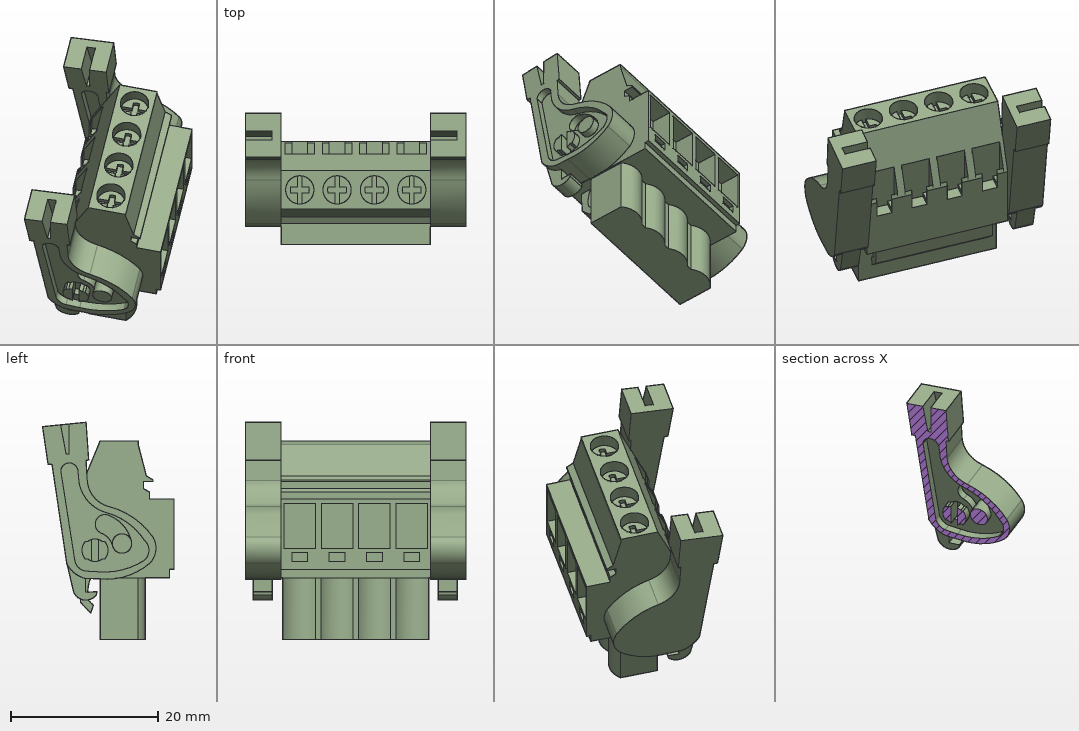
import cadquery as cq
import math


LENGTH = 30.02
POLES = 4
PITCH = 5.07
HOUSING_WIDTH = POLES * PITCH
HALF_WIDTH = HOUSING_WIDTH / 2
LEVER_WIDTH = (LENGTH - HOUSING_WIDTH) / 2
POLE_XS = [(i - (POLES - 1) / 2) * PITCH for i in range(POLES)]

BODY_BOTTOM = 8.4
BODY_TOP = 27.02
BODY_BACK = 14.05
TOP_FRONT = 4.85
TOP_BACK = 10.05
TOP_LIP = 0.48
BACK_SLOPE_END = 17.47
SHELF_HEIGHT = 19.15
FOOT_NOTCH_DEPTH = 0.6
FOOT_NOTCH_TOP = 9.55

ENTRY_WIDTH = 4.25
ENTRY_BOTTOM = 12.4
ENTRY_TOP = 18.52
ENTRY_DEPTH = 2.82
TEST_WIDTH = 2.13
TEST_BOTTOM = 10.63
TEST_TOP = 11.83
TEST_DEPTH = 0.6

BACK_POCKET_WIDTH = 4.0
BACK_POCKET_FRONT = 12.3
BACK_POCKET_BACK = 13.8
BACK_POCKET_FLOOR = 15.6
BACK_NOTCH_WIDTH = 2.13
BACK_NOTCH_FLOOR = 15.0

PLUG_HALF_WIDTH = 9.95
PLUG_FRONT = 3.9
PLUG_BACK = 10.05
BARREL_RADIUS = 3.27
BARREL_HALF_CHORD = 2.15

LATCH_WIDTH = 16.8

SCREW_RADIUS = 1.92
SCREW_Y = (TOP_FRONT + TOP_BACK) / 2
SCREW_SINK = 1.83
SCREW_HEIGHT = 3.6
SCREW_SLOT_DEPTH = 0.6
LONG_SLOT_WIDTH = 0.6
SHORT_SLOT_WIDTH = 0.8
SHORT_SLOT_RADIUS = 1.3

POCKET_DEPTH = 1.1
GROOVE_LENGTH = 3.63
HOOK_START = 1.05
HOOK_WIDTH = 2.6
PIVOT_Y = 10.75
PIVOT_Z = 12.15
PIVOT_RADIUS = 1.53
PIVOT_LUG_RADIUS = 1.77
PIVOT_LUG_HEIGHT = 2.35
PIVOT_SLOT_WIDTH = 0.93
PIVOT_SLOT_DEPTH = 1.98
PIN_RADIUS = 1.32
CAM_RADIUS = 3.78
CAM_DEPTH = 1.2
CAM_START_ANGLE = 111.0
CAM_END_ANGLE = 166.0


def box(x_center, width, y_range, z_range):
    """A box centred on x_center that spans the given Y and Z ranges."""
    depth = y_range[1] - y_range[0]
    height = z_range[1] - z_range[0]
    corner = (x_center - width / 2, y_range[0], z_range[0])
    return cq.Workplane("XY").box(width, depth, height, centered=False).translate(corner)


def side_plane(x):
    """A YZ sketch plane at the given X, with its normal along +X."""
    return cq.Workplane("YZ", origin=(x, 0, 0))


def make_body():
    """The stepped side profile of the housing, extruded along the row of poles."""
    profile = [
        (FOOT_NOTCH_DEPTH, BODY_BOTTOM),
        (FOOT_NOTCH_DEPTH, FOOT_NOTCH_TOP),
        (0, FOOT_NOTCH_TOP),
        (0, SHELF_HEIGHT),
        (3.33, SHELF_HEIGHT),
        (3.33, 20.08),
        (4.15, 20.53),
        (4.15, 21.5),
        (2.85, 21.5),
        (2.85, 21.73),
        (3.75, 22.27),
        (TOP_FRONT, BODY_TOP - TOP_LIP),
        (TOP_FRONT, BODY_TOP),
        (TOP_BACK, BODY_TOP),
        (BODY_BACK, BACK_SLOPE_END),
        (BODY_BACK, BODY_BOTTOM),
    ]
    return side_plane(-HALF_WIDTH).polyline(profile).close().extrude(HOUSING_WIDTH)


def barrel_y(offset):
    """Y of a plug barrel's front surface at an X offset from the pole's centre."""
    return PLUG_FRONT + BARREL_RADIUS - math.sqrt(BARREL_RADIUS**2 - offset**2)


def make_plug():
    """The plug: a block fronted by rounded barrels, one per pole; the end ones run to its sides."""
    outline = cq.Workplane("XY").moveTo(-PLUG_HALF_WIDTH, PLUG_BACK)
    for x in POLE_XS:
        left = -PLUG_HALF_WIDTH if x == POLE_XS[0] else x - BARREL_HALF_CHORD
        right = PLUG_HALF_WIDTH if x == POLE_XS[-1] else x + BARREL_HALF_CHORD
        outline = outline.lineTo(left, barrel_y(left - x))
        outline = outline.threePointArc((x, PLUG_FRONT), (right, barrel_y(right - x)))
    return outline.lineTo(PLUG_HALF_WIDTH, PLUG_BACK).close().extrude(BODY_BOTTOM)


def make_latch_bar():
    """The springy latch with a barbed tip that hangs below the back of the body."""
    return (
        side_plane(-LATCH_WIDTH / 2)
        .moveTo(11.32, BODY_BOTTOM)
        .threePointArc((11.65, 7.23), (11.65, 5.37))
        .lineTo(10.95, 4.68)
        .lineTo(11.32, 3.6)
        .lineTo(12.73, 5.07)
        .lineTo(12.88, BODY_BOTTOM)
        .close()
        .extrude(LATCH_WIDTH)
    )


def pole_openings(x):
    """Everything cut from the housing at one pole."""
    entry = box(x, ENTRY_WIDTH, (0, ENTRY_DEPTH), (ENTRY_BOTTOM, ENTRY_TOP))
    test = box(x, TEST_WIDTH, (0, TEST_DEPTH), (TEST_BOTTOM, TEST_TOP))
    pocket = box(
        x, BACK_POCKET_WIDTH, (BACK_POCKET_FRONT, BACK_POCKET_BACK), (BACK_POCKET_FLOOR, BODY_TOP)
    )
    notch = box(x, BACK_NOTCH_WIDTH, (BACK_POCKET_FRONT, BODY_BACK), (BACK_NOTCH_FLOOR, BODY_TOP))
    hole_depth = SCREW_SINK + SCREW_HEIGHT
    screw_hole = (
        cq.Workplane("XY", origin=(x, SCREW_Y, BODY_TOP - hole_depth))
        .circle(SCREW_RADIUS)
        .extrude(hole_depth)
    )
    return [entry, test, pocket, notch, screw_hole]


def make_housing():
    """The housing with its plug, latch bar and the openings of every pole."""
    housing = make_body().union(make_plug()).union(make_latch_bar())
    for x in POLE_XS:
        for opening in pole_openings(x):
            housing = housing.cut(opening)
    return housing


def make_screw(x):
    """A cross-slotted screw sunk in its hole."""
    screw_top = BODY_TOP - SCREW_SINK
    screw = (
        cq.Workplane("XY", origin=(x, SCREW_Y, screw_top - SCREW_HEIGHT))
        .circle(SCREW_RADIUS)
        .extrude(SCREW_HEIGHT)
    )
    slot_plane = cq.Workplane("XY", origin=(x, SCREW_Y, screw_top - SCREW_SLOT_DEPTH))
    long_slot = slot_plane.rect(LONG_SLOT_WIDTH, 2 * SCREW_RADIUS).extrude(SCREW_SLOT_DEPTH)
    short_slot = (
        slot_plane.rect(2 * SHORT_SLOT_RADIUS, SHORT_SLOT_WIDTH)
        .extrude(SCREW_SLOT_DEPTH)
        .intersect(slot_plane.circle(SHORT_SLOT_RADIUS).extrude(SCREW_SLOT_DEPTH))
    )
    return screw.cut(long_slot).cut(short_slot)


def lever_blank(x):
    """The lever's outline: a square-topped arm that widens into a rounded cam plate."""
    return (
        side_plane(x)
        .moveTo(17.9, 28.97)
        .lineTo(11.95, 29.57)
        .lineTo(11.6, 24.4)
        .lineTo(11.95, 24.38)
        .lineTo(11.8, 21.65)
        .threePointArc((10.93, 19.42), (8.77, 18.07))
        .threePointArc((5.43, 16.5), (2.88, 13.95))
        .threePointArc((2.45, 12.35), (3.25, 10.45))
        .threePointArc((6.0, 8.8), (10.12, 8.25))
        .lineTo(12.1, 8.32)
        .threePointArc((13.48, 9.0), (14.6, 10.3))
        .lineTo(16.6, 23.8)
        .lineTo(17.15, 23.85)
        .close()
        .extrude(LEVER_WIDTH)
    )


def lever_pocket(x):
    """The shallow pocket in the lever's -X face, which leaves a rim around the plate."""
    return (
        side_plane(x)
        .moveTo(15.4, 22.97)
        .threePointArc((14.17, 24.02), (13.1, 23.12))
        .lineTo(12.9, 21.3)
        .threePointArc((11.53, 18.65), (9.15, 17.25))
        .threePointArc((6.3, 15.88), (4.05, 13.55))
        .threePointArc((3.42, 12.15), (4.05, 10.78))
        .threePointArc((6.6, 9.6), (10.2, 9.22))
        .lineTo(12.1, 9.35)
        .threePointArc((12.97, 9.8), (13.48, 10.7))
        .close()
        .extrude(POCKET_DEPTH)
    )


def arm_groove(x):
    """The tapered groove cut down into the top of the arm, open on the -X face."""
    return (
        side_plane(x)
        .polyline([(15.5, 29.57), (14.68, 25.22), (14.25, 25.22), (14.25, 29.57)])
        .close()
        .extrude(GROOVE_LENGTH)
    )


def cam_point(radius, angle):
    """The point at a radius and angle in degrees about the lever's pivot."""
    turn = math.radians(angle)
    return PIVOT_Y + radius * math.cos(turn), PIVOT_Z + radius * math.sin(turn)


def cam_slot(x):
    """The arc-shaped recess in the pocket floor, concentric with the pivot."""
    inner = CAM_RADIUS - PIN_RADIUS
    outer = CAM_RADIUS + PIN_RADIUS
    middle = (CAM_START_ANGLE + CAM_END_ANGLE) / 2
    sweep = (
        side_plane(x)
        .moveTo(*cam_point(inner, CAM_START_ANGLE))
        .threePointArc(cam_point(inner, middle), cam_point(inner, CAM_END_ANGLE))
        .lineTo(*cam_point(outer, CAM_END_ANGLE))
        .threePointArc(cam_point(outer, middle), cam_point(outer, CAM_START_ANGLE))
        .close()
        .extrude(CAM_DEPTH)
    )
    far_end = side_plane(x).center(*cam_point(CAM_RADIUS, CAM_START_ANGLE)).circle(PIN_RADIUS)
    return sweep.union(far_end.extrude(CAM_DEPTH))


def guide_pin(x, height):
    """The round pin that fills the lower end of the cam slot and rises flush with the rim."""
    center = cam_point(CAM_RADIUS, CAM_END_ANGLE)
    return side_plane(x).center(*center).circle(PIN_RADIUS).extrude(height)


def pivot_boss(x):
    """The pivot boss: a disc with two flat-sided lugs."""
    plane = side_plane(x).center(PIVOT_Y, PIVOT_Z)
    lugs = (
        plane.circle(PIVOT_LUG_RADIUS)
        .extrude(POCKET_DEPTH)
        .intersect(plane.rect(2 * PIVOT_LUG_RADIUS, PIVOT_LUG_HEIGHT).extrude(POCKET_DEPTH))
    )
    return plane.circle(PIVOT_RADIUS).extrude(POCKET_DEPTH).union(lugs)


def pivot_slot(x):
    """The vertical slot that splits the pivot boss and runs on below the pocket floor."""
    plane = side_plane(x).center(PIVOT_Y, PIVOT_Z)
    bar = plane.rect(PIVOT_SLOT_WIDTH, 2 * PIVOT_RADIUS).extrude(PIVOT_SLOT_DEPTH)
    return bar.intersect(plane.circle(PIVOT_RADIUS).extrude(PIVOT_SLOT_DEPTH))


def lever_hook(x):
    """The catch below the plate, narrower than the lever."""
    return (
        side_plane(x + HOOK_START)
        .moveTo(14.55, 10.3)
        .lineTo(13.65, 6.45)
        .threePointArc((12.07, 5.37), (10.55, 6.1))
        .lineTo(10.48, 6.55)
        .lineTo(12.05, 6.45)
        .lineTo(12.05, 10.3)
        .close()
        .extrude(HOOK_WIDTH)
    )


def make_lever(x):
    """A latch lever whose -X face lies at x."""
    pocket_floor = x + POCKET_DEPTH
    return (
        lever_blank(x)
        .union(lever_hook(x))
        .cut(lever_pocket(x))
        .cut(arm_groove(x))
        .cut(cam_slot(pocket_floor))
        .union(guide_pin(x, POCKET_DEPTH + CAM_DEPTH))
        .union(pivot_boss(x))
        .cut(pivot_slot(x))
    )


housing = make_housing()
screws = [make_screw(x) for x in POLE_XS]
levers = [make_lever(x) for x in (-LENGTH / 2, HALF_WIDTH)]

result = cq.Compound.makeCompound(
    [housing.val()] + [screw.val() for screw in screws] + [lever.val() for lever in levers]
)